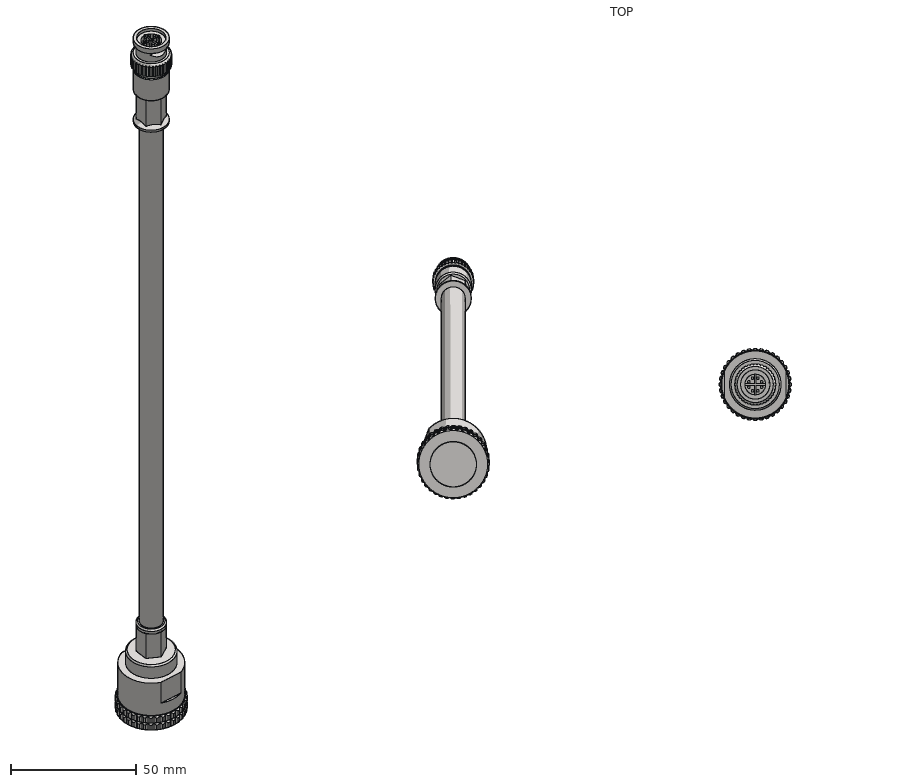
import cadquery as cq
import math

RING_BOTTOM = 0.7
RING_TOP = 8.0
FLAT_BOTTOM = 13.7
HOUSING_TOP = 24.5
NECK_TOP = 31.0
LOWER_GRIP_TOP = 45.5
CABLE_EXIT = 300.7
UPPER_GRIP_TOP = 316.0
BARREL_TOP = 328.0
NUT_TOP = 335.7
NOTCH_BOTTOM = 337.8
LIP_BOTTOM = 341.0
TOTAL_HEIGHT = 343.2

RING_RADIUS = 14.5
RING_CHAMFER = 0.7
RING_TEETH = 36
RING_FLUTE_DEPTH = 0.7
RING_GROOVE_DEPTH = 0.7

TOOTH_TRIM = 0.5

SPIGOT_RADIUS = 9.3
HOUSING_RADIUS = 13.5
FLAT_OFFSET = 12.5
NECK_RADIUS = 10.3
NECK_CHAMFER = 0.7

CABLE_RADIUS = 4.8
CABLE_SOCKET_DEPTH = 7.0
GRIP_ACROSS_FLATS = 10.5
GRIP_RADIUS = GRIP_ACROSS_FLATS / math.sqrt(3)
COLLAR_HEIGHT = 2.0
COLLAR_CHAMFER = 0.7

PLUG_RADIUS = 7.2
FLANGE_HEIGHT = 1.0
FLANGE_CONE_HEIGHT = 1.5
BARREL_CHAMFER = 0.7
PLUG_NECK_RADIUS = 6.2
NOTCH_REACH = 4.5
MOUTH_RADIUS = 6.0
MOUTH_DEPTH = 1.5
PLUG_BORE_RADIUS = 4.0
PLUG_BORE_DEPTH = 5.0

SHIELD_THICKNESS = 0.7
PIN_RADIUS = 0.5
PIN_CIRCLE_RADIUS = 2.7
PIN_COUNT = 8
PIN_TIP_DEPTH = 1.0

NUT_RADIUS = 8.2
NUT_BORE_RADIUS = 5.5
NUT_COLLAR_HEIGHT = 1.7
NUT_CHAMFER = 1.0
NUT_TEETH = 36
NUT_FLUTE_DEPTH = 0.5


def turned(points):
    """Revolve an outline of (radius, height) points about Z."""
    return cq.Workplane("XZ").polyline(points).close().revolve(360, (0, 0), (0, 1))


def cylinder(radius, bottom, top):
    return turned([(0, bottom), (radius, bottom), (radius, top), (0, top)])


def hexagon(bottom, top):
    """Hexagonal grip with two of its corners on the X axis."""
    return cq.Workplane("XY", origin=(0, 0, bottom)).polygon(6, 2 * GRIP_RADIUS).extrude(top - bottom)


def fluted_disc(radius, flute_depth, teeth, bottom, top):
    """Disc with V-shaped flutes whose sharp tooth tips stand TOOTH_TRIM outside the radius."""
    points = []
    for i in range(teeth):
        tip_angle = 2 * math.pi * i / teeth
        root_angle = tip_angle + math.pi / teeth
        for angle, reach in ((tip_angle, radius + TOOTH_TRIM), (root_angle, radius - flute_depth)):
            points.append((reach * math.cos(angle), reach * math.sin(angle)))
    return cq.Workplane("XY", origin=(0, 0, bottom)).polyline(points).close().extrude(top - bottom)


def make_coupling_ring():
    end_radius = RING_RADIUS - RING_CHAMFER
    middle = (RING_BOTTOM + RING_TOP) / 2
    ring = turned([
        (SPIGOT_RADIUS, RING_BOTTOM),
        (end_radius, RING_BOTTOM),
        (RING_RADIUS, RING_BOTTOM + RING_CHAMFER),
        (RING_RADIUS, middle - RING_GROOVE_DEPTH),
        (RING_RADIUS - RING_GROOVE_DEPTH, middle),
        (RING_RADIUS, middle + RING_GROOVE_DEPTH),
        (RING_RADIUS, RING_TOP - RING_CHAMFER),
        (end_radius, RING_TOP),
        (SPIGOT_RADIUS, RING_TOP),
    ])
    return ring.intersect(fluted_disc(RING_RADIUS, RING_FLUTE_DEPTH, RING_TEETH, RING_BOTTOM, RING_TOP))


def make_lower_housing():
    body = turned([
        (0, 0),
        (SPIGOT_RADIUS, 0),
        (SPIGOT_RADIUS, RING_TOP),
        (HOUSING_RADIUS, RING_TOP),
        (HOUSING_RADIUS, HOUSING_TOP),
        (NECK_RADIUS, HOUSING_TOP),
        (NECK_RADIUS, NECK_TOP - NECK_CHAMFER),
        (NECK_RADIUS - NECK_CHAMFER, NECK_TOP),
        (0, NECK_TOP),
    ])
    cut_depth = HOUSING_RADIUS - FLAT_OFFSET
    for side in (-1, 1):
        flat_center = (side * (FLAT_OFFSET + cut_depth / 2), 0, FLAT_BOTTOM)
        flat = cq.Workplane("XY", origin=flat_center).rect(cut_depth, 2 * HOUSING_RADIUS)
        body = body.cut(flat.extrude(HOUSING_TOP - FLAT_BOTTOM))
    collar_bottom = LOWER_GRIP_TOP - COLLAR_HEIGHT
    collar = turned([
        (0, collar_bottom),
        (GRIP_RADIUS, collar_bottom),
        (GRIP_RADIUS, LOWER_GRIP_TOP - COLLAR_CHAMFER),
        (GRIP_RADIUS - COLLAR_CHAMFER, LOWER_GRIP_TOP),
        (0, LOWER_GRIP_TOP),
    ])
    socket = cylinder(CABLE_RADIUS, LOWER_GRIP_TOP - CABLE_SOCKET_DEPTH, LOWER_GRIP_TOP)
    return body.union(hexagon(NECK_TOP, collar_bottom)).union(collar).cut(socket)


def make_cable():
    return cylinder(CABLE_RADIUS, LOWER_GRIP_TOP - CABLE_SOCKET_DEPTH, CABLE_EXIT + CABLE_SOCKET_DEPTH)


def make_contacts():
    bottom = TOTAL_HEIGHT - PLUG_BORE_DEPTH
    height = PLUG_BORE_DEPTH - PIN_TIP_DEPTH
    floor = cq.Workplane("XY", origin=(0, 0, bottom))
    span = 2 * PLUG_BORE_RADIUS
    shield = floor.rect(span, SHIELD_THICKNESS).extrude(height)
    shield = shield.union(floor.rect(SHIELD_THICKNESS, span).extrude(height))
    first_angle = 180 / PIN_COUNT
    pin_centers = floor.polarArray(PIN_CIRCLE_RADIUS, first_angle, 360, PIN_COUNT)
    return shield.union(pin_centers.circle(PIN_RADIUS).extrude(height))


def cut_side_notches(body):
    """Cut a V-shaped notch across the -X and +X sides of the plug neck."""
    middle = (NOTCH_BOTTOM + LIP_BOTTOM) / 2
    for side in (-1, 1):
        outline = [
            (side * PLUG_NECK_RADIUS, NOTCH_BOTTOM),
            (side * NOTCH_REACH, middle),
            (side * PLUG_NECK_RADIUS, LIP_BOTTOM),
        ]
        notch = cq.Workplane("XZ").polyline(outline).close().extrude(PLUG_NECK_RADIUS, both=True)
        body = body.cut(notch)
    return body


def make_plug():
    flange_top = CABLE_EXIT + FLANGE_HEIGHT
    cone_top = flange_top + FLANGE_CONE_HEIGHT
    flange = turned([
        (0, CABLE_EXIT),
        (PLUG_RADIUS, CABLE_EXIT),
        (PLUG_RADIUS, flange_top),
        (GRIP_ACROSS_FLATS / 2, cone_top),
        (0, cone_top),
    ])
    barrel_edge = PLUG_RADIUS - BARREL_CHAMFER
    upper_body = turned([
        (0, UPPER_GRIP_TOP),
        (barrel_edge, UPPER_GRIP_TOP),
        (PLUG_RADIUS, UPPER_GRIP_TOP + BARREL_CHAMFER),
        (PLUG_RADIUS, BARREL_TOP - BARREL_CHAMFER),
        (barrel_edge, BARREL_TOP),
        (NUT_BORE_RADIUS, BARREL_TOP),
        (NUT_BORE_RADIUS, NUT_TOP),
        (PLUG_NECK_RADIUS, NUT_TOP),
        (PLUG_NECK_RADIUS, LIP_BOTTOM),
        (PLUG_RADIUS, LIP_BOTTOM),
        (PLUG_RADIUS, TOTAL_HEIGHT),
        (0, TOTAL_HEIGHT),
    ])
    body = flange.union(hexagon(flange_top, UPPER_GRIP_TOP)).union(upper_body)
    body = cut_side_notches(body)
    body = body.cut(cylinder(MOUTH_RADIUS, TOTAL_HEIGHT - MOUTH_DEPTH, TOTAL_HEIGHT))
    body = body.cut(cylinder(PLUG_BORE_RADIUS, TOTAL_HEIGHT - PLUG_BORE_DEPTH, TOTAL_HEIGHT))
    body = body.cut(cylinder(CABLE_RADIUS, CABLE_EXIT, CABLE_EXIT + CABLE_SOCKET_DEPTH))
    return body.union(make_contacts())


def make_knurled_nut():
    knurl_bottom = BARREL_TOP + NUT_COLLAR_HEIGHT
    knurl = fluted_disc(NUT_RADIUS, NUT_FLUTE_DEPTH, NUT_TEETH, knurl_bottom, NUT_TOP)
    envelope = turned([
        (NUT_BORE_RADIUS, BARREL_TOP),
        (NUT_RADIUS, BARREL_TOP),
        (NUT_RADIUS, NUT_TOP - NUT_CHAMFER),
        (NUT_RADIUS - NUT_CHAMFER, NUT_TOP),
        (NUT_BORE_RADIUS, NUT_TOP),
    ])
    return cylinder(PLUG_RADIUS, BARREL_TOP, knurl_bottom).union(knurl).intersect(envelope)


coupling_ring = make_coupling_ring()
lower_housing = make_lower_housing()
cable = make_cable()
plug = make_plug()
knurled_nut = make_knurled_nut()

result = cq.Compound.makeCompound(
    [coupling_ring.val(), lower_housing.val(), cable.val(), plug.val(), knurled_nut.val()]
)